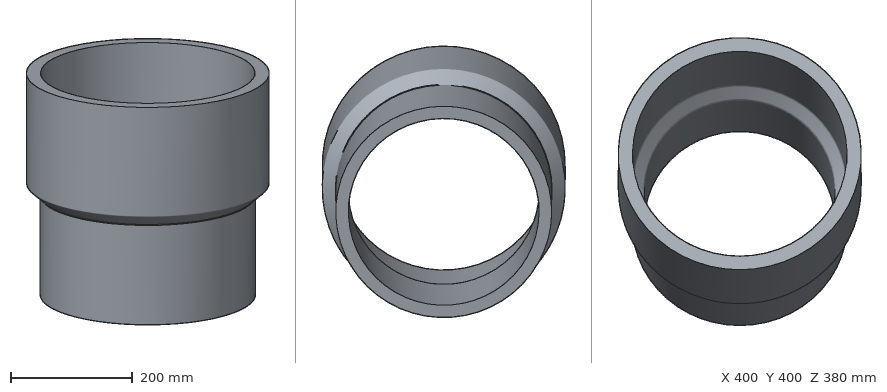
import cadquery as cq

total_height = 380.0
large_diameter = 400.0
small_diameter = 355.0

large_wall = 23.5
small_wall = 21.0

cone_bottom = 172.0
cone_top = 191.5

outer_fillet = 3.0
bore_fillet = 5.5

large_radius = large_diameter / 2
small_radius = small_diameter / 2


def stepped_body(lower_radius, upper_radius, fillet_radius):
    """Two cylinders joined by a cone, with both ends of the cone rounded."""
    body = (
        cq.Workplane("XZ")
        .lineTo(lower_radius, 0)
        .lineTo(lower_radius, cone_bottom)
        .lineTo(upper_radius, cone_top)
        .lineTo(upper_radius, total_height)
        .lineTo(0, total_height)
        .close()
        .revolve(360, (0, 0, 0), (0, 1, 0))
    )
    cone_edges = body.edges("%CIRCLE").edges("not(<Z or >Z)")
    return cone_edges.fillet(fillet_radius)


outer_body = stepped_body(small_radius, large_radius, outer_fillet)
bore = stepped_body(small_radius - small_wall, large_radius - large_wall, bore_fillet)
result = outer_body.cut(bore)